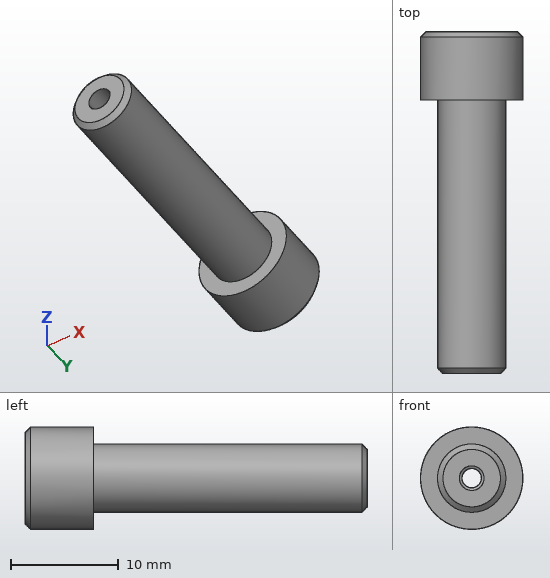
import cadquery as cq
import math

total_length = 31.75
head_diameter = 9.52
head_length = 6.35
shank_diameter = 6.35
shank_length = total_length - head_length

tip_chamfer = 0.5
head_chamfer = 0.5

shank_bore_radius = 1.15
head_bore_radius = 0.9
drill_point_angle = 118.0
cone_length = (shank_bore_radius - head_bore_radius) / math.tan(math.radians(drill_point_angle / 2))

tip_y = -total_length / 2
head_base_y = tip_y + shank_length
head_top_y = total_length / 2


def cylinder(diameter, start_y, length):
    """Solid cylinder on the Y axis, running from start_y toward +Y."""
    return cq.Workplane("XZ", origin=(0, start_y, 0)).circle(diameter / 2).extrude(-length)


shank = cylinder(shank_diameter, tip_y, shank_length).faces("<Y").chamfer(tip_chamfer)
head = cylinder(head_diameter, head_base_y, head_length).faces(">Y").chamfer(head_chamfer)

bore = (
    cq.Workplane("XY")
    .moveTo(0, tip_y)
    .lineTo(shank_bore_radius, tip_y)
    .lineTo(shank_bore_radius, head_base_y)
    .lineTo(head_bore_radius, head_base_y + cone_length)
    .lineTo(head_bore_radius, head_top_y)
    .lineTo(0, head_top_y)
    .close()
    .revolve(360, (0, 0, 0), (0, 1, 0))
)

result = shank.union(head).cut(bore)